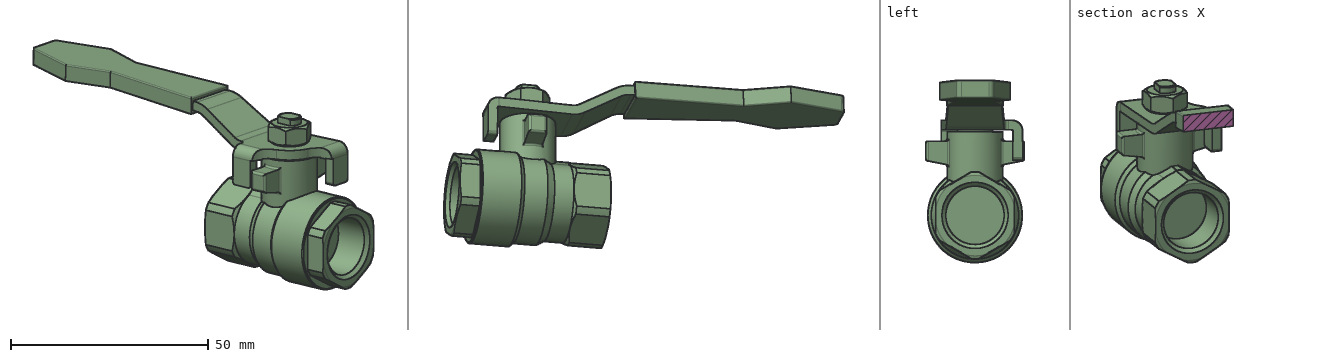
import cadquery as cq
import math


body_half_length = 19.55
hex_across_flats = 20.0
hex_corner_radius = 11.0
hex_end_chamfer = 0.25
hex_face_radius = 10.2
left_hex_end = -9.9
right_hex_start = 14.4
hex_shoulder = 0.7
neck_radius = 9.95
neck_end = -4.9
waist_radius = 11.1
waist_start = -2.9
waist_end = 3.1
bell_radius = 12.0
bell_start = 4.1
bell_chamfer = 0.3
bore_radius = 7.4
bore_mouth_radius = 8.4
bore_depth = 9.5

tower_radius = 7.1
tower_top = 21.15
lug_reach = 12.5
lug_root_reach = 6.0
lug_width = 4.7
lug_top = 18.85
lug_root_bottom = 12.6
lug_tip_bottom = 13.9
lug_edge_radius = 0.6
lug_root_radius = 0.5
rib_base_half_width = 4.2
rib_crest_half_width = 0.9
rib_base_height = 9.0
rib_crest_height = 11.1

sheet = 2.5
plate_bottom = 21.65
plate_top = plate_bottom + sheet
tab_bottom = 14.0
tab_reach = 12.1
tab_corner_radius = 0.8
inner_corner_radius = 0.9
tab_bend_radius = 2.8
tab_inner_bend_radius = tab_bend_radius - sheet
upper_bend_radius = 8.0
lower_bend_radius = 4.0
lower_bend_x = -11.4
ramp_angle = 30.0
strip_half_width = 6.5
strip_end_x = -30.0
plate_back_y = 8.6
hub_radius = 7.8
side_tab_left = -8.6
tab_side = 2.8
flare_end = 2.2
flare_x = -0.7
flare_y = -9.3
hub_start_x = 1.9

grip_left = -81.23
grip_right = -26.45
grip_tilt = 2.1
grip_thickness = 4.5
grip_top = 34.31
grip_end_half_width = 4.5
grip_widest_x = -66.4
grip_widest_half_width = 9.0
grip_waist_x = -54.9
grip_waist_half_width = 5.1
grip_neck_half_width = 7.15
grip_corner_radius = 1.3
grip_edge_radius = 0.3

nut_across_flats = 10.0
nut_bottom = 24.35
nut_top = 29.25
nut_face_radius = 4.6
stem_radius = 3.0
stem_flat_half_width = 2.2
stem_top = 31.0
stem_chamfer = 0.3
collar_radius = 4.5


def revolve_about_x(points):
    return cq.Workplane("XY").polyline(points).close().revolve(360, (0, 0, 0), (1, 0, 0))


def hex_end(start, end, profile):
    """Hexagon with two flats facing +Y and -Y, its corners turned to the given profile."""
    across_corners = hex_across_flats / math.cos(math.pi / 6)
    prism = (
        cq.Workplane("YZ", origin=(start, 0, 0))
        .transformed(rotate=(0, 0, 90))
        .polygon(6, across_corners)
        .extrude(end - start)
    )
    return prism.intersect(revolve_about_x(profile))


def bore():
    mouth = bore_mouth_radius - bore_radius
    floor = body_half_length - bore_depth
    return revolve_about_x([
        (floor, 0),
        (floor, bore_radius),
        (body_half_length - mouth, bore_radius),
        (body_half_length, bore_mouth_radius),
        (body_half_length, 0),
    ])


def make_body():
    core = revolve_about_x([
        (left_hex_end - hex_shoulder, 0),
        (left_hex_end - hex_shoulder, neck_radius),
        (neck_end, neck_radius),
        (waist_start, waist_radius),
        (waist_end, waist_radius),
        (bell_start, bell_radius),
        (right_hex_start - bell_chamfer, bell_radius),
        (right_hex_start, bell_radius - bell_chamfer),
        (right_hex_start, 0),
    ])
    left = hex_end(-body_half_length, left_hex_end, [
        (-body_half_length, 0),
        (-body_half_length, hex_face_radius),
        (-body_half_length + hex_end_chamfer, hex_corner_radius),
        (left_hex_end - hex_shoulder, hex_corner_radius),
        (left_hex_end, neck_radius),
        (left_hex_end, 0),
    ])
    right = hex_end(right_hex_start, body_half_length, [
        (right_hex_start, 0),
        (right_hex_start, hex_corner_radius),
        (body_half_length - hex_end_chamfer, hex_corner_radius),
        (body_half_length, hex_face_radius),
        (body_half_length, 0),
    ])
    tower = cq.Workplane("XY").circle(tower_radius).extrude(tower_top)
    body = core.union(left).union(right).union(tower).union(make_rib())
    body = body.union(make_lug()).union(make_lug().mirror("XZ"))
    body = body.edges(lug_roots()).fillet(lug_root_radius)
    return body.cut(bore()).cut(bore().mirror("YZ"))


def make_rib():
    """Low rib on top of the neck, from the left hexagon to the tower."""
    start = left_hex_end - hex_shoulder
    return (
        cq.Workplane("YZ", origin=(start, 0, 0))
        .polyline([
            (-rib_base_half_width, rib_base_height),
            (rib_base_half_width, rib_base_height),
            (rib_crest_half_width, rib_crest_height),
            (-rib_crest_half_width, rib_crest_height),
        ])
        .close()
        .extrude(-start)
    )


def make_lug():
    return (
        cq.Workplane("YZ", origin=(-lug_width / 2, 0, 0))
        .polyline([
            (0, lug_top),
            (lug_reach, lug_top),
            (lug_reach, lug_tip_bottom),
            (lug_root_reach, lug_root_bottom),
            (0, lug_root_bottom),
        ])
        .close()
        .extrude(lug_width)
        .faces(">Y")
        .edges()
        .fillet(lug_edge_radius)
    )


def lug_roots():
    """Selects the edges where the lugs meet the tower."""
    half_depth = tower_radius + lug_edge_radius
    return cq.selectors.BoxSelector(
        (-lug_width, -half_depth, lug_root_bottom - lug_edge_radius),
        (lug_width, half_depth, lug_top + lug_edge_radius),
    )


def grip_middle_z(x):
    """Height of the grip's middle plane above the bore axis."""
    tilt = math.radians(grip_tilt)
    middle_at_end = grip_top - grip_thickness / 2 * math.cos(tilt)
    return middle_at_end - (x - grip_left) * math.tan(tilt)


def offset_path(points, distance):
    """Mitred parallel of an open path, on its left side for a positive distance."""
    headings = [
        math.atan2(q[1] - p[1], q[0] - p[0])
        for p, q in zip(points, points[1:])
    ]
    shifted = []
    for i, (x, z) in enumerate(points):
        before = headings[max(i - 1, 0)]
        after = headings[min(i, len(headings) - 1)]
        normal = (before + after) / 2 + math.pi / 2
        reach = distance / math.cos((after - before) / 2)
        shifted.append((x + reach * math.cos(normal), z + reach * math.sin(normal)))
    return shifted


def fillet_bend(solid, point, radius):
    x, z = point
    return solid.edges("|Y").edges(cq.NearestToPointSelector((x, 0, z))).fillet(radius)


def make_strip():
    """Bent sheet from inside the grip down the ramp, across the plate and down the end tab."""
    plate_middle = plate_bottom + sheet / 2
    ramp = math.tan(math.radians(ramp_angle))
    tilt = math.tan(math.radians(grip_tilt))
    ramp_run = (grip_middle_z(lower_bend_x) - plate_middle) / (ramp - tilt)
    middle_line = [
        (strip_end_x, grip_middle_z(strip_end_x)),
        (lower_bend_x - ramp_run, plate_middle + ramp_run * ramp),
        (lower_bend_x, plate_middle),
        (tab_reach - sheet / 2, plate_middle),
        (tab_reach - sheet / 2, tab_bottom),
    ]
    upper = offset_path(middle_line, sheet / 2)
    lower = offset_path(middle_line, -sheet / 2)
    strip = (
        cq.Workplane("XZ")
        .polyline(upper + lower[::-1])
        .close()
        .extrude(tab_reach - tab_bend_radius, both=True)
    )
    strip = fillet_bend(strip, upper[1], upper_bend_radius)
    strip = fillet_bend(strip, lower[1], upper_bend_radius - sheet)
    strip = fillet_bend(strip, upper[2], lower_bend_radius)
    strip = fillet_bend(strip, lower[2], lower_bend_radius + sheet)
    strip = fillet_bend(strip, upper[3], tab_bend_radius)
    return fillet_bend(strip, lower[3], tab_inner_bend_radius)


def make_side_tab():
    """Sheet bent down at the -Y side of the plate."""
    return (
        cq.Workplane("YZ", origin=(side_tab_left, 0, 0))
        .moveTo(0, plate_bottom)
        .lineTo(0, plate_top)
        .lineTo(-tab_reach + tab_bend_radius, plate_top)
        .radiusArc((-tab_reach, plate_top - tab_bend_radius), -tab_bend_radius)
        .lineTo(-tab_reach, tab_bottom)
        .lineTo(-tab_reach + sheet, tab_bottom)
        .lineTo(-tab_reach + sheet, plate_bottom - tab_inner_bend_radius)
        .radiusArc((-tab_reach + tab_bend_radius, plate_bottom), tab_inner_bend_radius)
        .close()
        .extrude(-side_tab_left + hub_radius)
    )


def lever_footprint():
    """Plan outline: tapered strip, side tab, round hub flaring into both tabs."""
    taper = (plate_back_y - strip_half_width) / (tab_reach - tab_bend_radius - grip_right)
    strip_half_at_tab = strip_half_width + taper * (side_tab_left - grip_right)
    strip_half_at_start = strip_half_width - taper * (grip_right - strip_end_x)
    diagonal = hub_radius * math.sqrt(0.5)
    hub_start_y = -math.sqrt(hub_radius**2 - hub_start_x**2)
    outline = (
        cq.Workplane("XY")
        .moveTo(strip_end_x, -strip_half_at_start)
        .lineTo(side_tab_left, -strip_half_at_tab)
        .lineTo(side_tab_left, -tab_reach)
        .lineTo(-flare_end, -tab_reach)
        .threePointArc((flare_x, flare_y), (hub_start_x, hub_start_y))
        .threePointArc((diagonal, -diagonal), (-hub_start_y, -hub_start_x))
        .threePointArc((-flare_y, -flare_x), (tab_reach, flare_end))
        .lineTo(tab_reach, plate_back_y)
        .lineTo(tab_reach - tab_bend_radius, plate_back_y)
        .lineTo(strip_end_x, strip_half_at_start)
        .close()
        .extrude(grip_top)
    )
    inner_corner = cq.NearestToPointSelector((side_tab_left, -strip_half_at_tab, grip_top / 2))
    return outline.edges("|Z").edges(inner_corner).fillet(inner_corner_radius)


def tab_relief():
    """Block that narrows the side tab to its straight edge below the bend."""
    height = plate_top - tab_bend_radius - tab_bottom
    return cq.Workplane("XY").box(tab_reach, sheet, height, centered=False).translate(
        (-tab_side, -tab_reach, tab_bottom)
    )


def make_lever():
    sheet_metal = make_strip().union(make_side_tab()).intersect(lever_footprint())
    side_relief = tab_relief()
    end_relief = side_relief.mirror("YZ").rotate((0, 0, 0), (0, 0, 1), 90)
    sheet_metal = sheet_metal.cut(side_relief).cut(end_relief)
    tab_corners = sheet_metal.faces("<Z").edges(cq.selectors.LengthNthSelector(0))
    return tab_corners.fillet(tab_corner_radius)


def make_grip():
    """Flat grip, widest near its free end, tilted up away from the stem."""
    tilt = math.radians(grip_tilt)

    def along(x):
        return (x - grip_left) / math.cos(tilt)

    half_outline = [
        (along(grip_left), grip_end_half_width),
        (along(grip_widest_x), grip_widest_half_width),
        (along(grip_waist_x), grip_waist_half_width),
        (along(grip_right), grip_neck_half_width),
    ]
    mirrored = [(x, -y) for x, y in reversed(half_outline)]
    grip = (
        cq.Workplane("XY")
        .polyline(half_outline + mirrored)
        .close()
        .extrude(grip_thickness / 2, both=True)
        .edges("|Z and <X")
        .fillet(grip_corner_radius)
        .faces("<Z or >Z")
        .edges()
        .fillet(grip_edge_radius)
    )
    return (
        grip.rotate((0, 0, 0), (0, 1, 0), grip_tilt)
        .translate((grip_left, 0, grip_middle_z(grip_left)))
    )


def make_nut():
    """Hexagon nut with both ends of its corners chamfered and a round face below."""
    corner_radius = nut_across_flats / 2 / math.cos(math.pi / 6)
    chamfer_height = (corner_radius - nut_face_radius) * math.tan(math.pi / 6)
    prism = (
        cq.Workplane("XY", origin=(0, 0, nut_bottom))
        .polygon(6, 2 * corner_radius)
        .extrude(nut_top - nut_bottom)
    )
    turned = (
        cq.Workplane("XZ")
        .polyline([
            (0, nut_bottom),
            (nut_face_radius, nut_bottom),
            (corner_radius, nut_bottom + chamfer_height),
            (corner_radius, nut_top - chamfer_height),
            (nut_face_radius, nut_top),
            (0, nut_top),
        ])
        .close()
        .revolve(360, (0, 0, 0), (0, 1, 0))
    )
    return prism.intersect(turned)


def make_stem():
    """Collar from the tower up to the nut, then a threaded end with two flats."""
    collar = (
        cq.Workplane("XY", origin=(0, 0, tower_top))
        .circle(collar_radius)
        .extrude(nut_bottom - tower_top)
    )
    threaded_end = (
        cq.Workplane("XY", origin=(0, 0, nut_bottom))
        .circle(stem_radius)
        .extrude(stem_top - nut_bottom)
        .faces(">Z")
        .chamfer(stem_chamfer)
    )
    flats = cq.Workplane("XY").box(
        2 * stem_radius, 2 * stem_flat_half_width, stem_top, centered=(True, True, False)
    )
    return collar.union(threaded_end.intersect(flats))


result = (
    make_body()
    .union(make_lever())
    .union(make_grip())
    .union(make_stem())
    .union(make_nut())
)